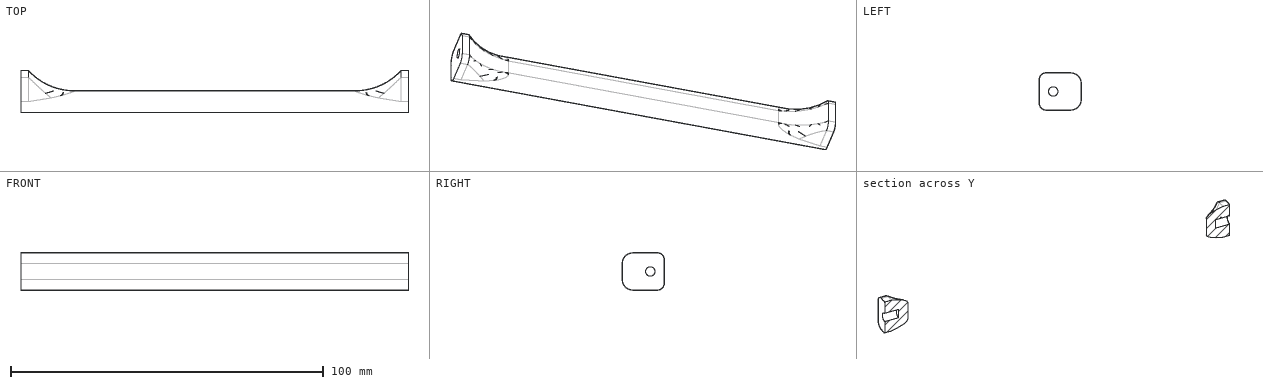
import cadquery as cq
import math

length = 124.0
depth = 13.5
height = 12.0

bar_depth = 7.0
bar_radius = bar_depth / 2
round_y = bar_radius
round_z = height / 2 - bar_radius

leg_thickness = 2.4
leg_corner_radius = 2.25
corner_y = depth - leg_corner_radius
corner_z = height / 2 - leg_corner_radius

ball_radius = 20.0
orbit_radius = bar_radius + ball_radius
quarter_turn = math.pi / 2

path_points = 9
angle_overlap = math.radians(0.5)
cut_into_bar = 0.5

hole_diameter = 3.0
hole_y = 9.0
hole_depth = 5.0


def make_bar(bar_length):
    """Bar from the left end: front and back are flat bands, rounded into the top and bottom."""
    sketch = (
        cq.Workplane("YZ")
        .moveTo(0, -round_z)
        .lineTo(0, round_z)
        .radiusArc((bar_radius, height / 2), bar_radius)
        .radiusArc((bar_depth, round_z), bar_radius)
        .lineTo(bar_depth, -round_z)
        .radiusArc((bar_radius, -height / 2), bar_radius)
        .radiusArc((0, -round_z), bar_radius)
        .close()
    )
    return sketch.extrude(bar_length)


def make_leg_block(thickness):
    """Left-hand block with the leg's outline: bar rounding in front, smaller corners at the back."""
    block = cq.Workplane("YZ").center(depth / 2, 0).rect(depth, height).extrude(thickness)
    block = block.edges("|X and <Y").fillet(bar_radius)
    return block.edges("|X and >Y").fillet(leg_corner_radius)


def upper_half(body):
    """The part of a body above the middle plane Z = 0."""
    box = cq.Workplane("XY").box(2 * length, 2 * length, height, centered=(True, True, False))
    return body.intersect(box)


def ball_centre(angle):
    """Ball centre when it touches the bar's upper back rounding at this angle from vertical."""
    y = round_y + orbit_radius * math.sin(angle)
    z = round_z + orbit_radius * math.cos(angle)
    if y <= corner_y:
        rim_distance = z - height / 2
    elif z >= corner_z:
        rim_distance = math.hypot(y - corner_y, z - corner_z) - leg_corner_radius
    else:
        rim_distance = y - depth
    run = math.sqrt(max(ball_radius**2 - rim_distance**2, 0))
    return cq.Vector(leg_thickness + run, y, z)


def beneath_ball(angle):
    """Point inside the bar, under the ball's contact with it."""
    radius = bar_radius - cut_into_bar
    y = round_y + radius * math.sin(angle)
    z = round_z + radius * math.cos(angle)
    return cq.Vector(ball_centre(angle).x, y, z)


def path_through(position, start, end):
    """Smooth path through the positions found at evenly spaced angles."""
    step = (end - start) / (path_points - 1)
    return cq.Edge.makeSpline([position(start + i * step) for i in range(path_points)])


def swept_ball(path):
    """Tube traced by the ball along a path of its centre."""
    plane = cq.Plane(origin=path.startPoint(), normal=path.tangentAt(0))
    return cq.Workplane(plane).circle(ball_radius).sweep(cq.Workplane(obj=path))


def clearance_beyond(inner_path, outer_path):
    """Space past the ball's contact line, open towards the middle of the bar."""
    face = cq.Face.makeRuledSurface(inner_path, outer_path)
    return cq.Workplane(obj=cq.Solid.extrudeLinear(face, cq.Vector(length / 2, 0, 0)))


def make_upper_leg():
    """Upper half of the left leg, with its concave blend into the bar."""
    leaves_top_edge = math.asin((corner_y - round_y) / orbit_radius)
    stretches = [(0, leaves_top_edge + angle_overlap), (leaves_top_edge, quarter_turn)]
    centre_paths = [path_through(ball_centre, start, end) for start, end in stretches]
    inner_paths = [path_through(beneath_ball, start, end) for start, end in stretches]

    level = ball_centre(quarter_turn)
    straight_top = cq.Vector(level.x, level.y, corner_z)
    straight_end = cq.Vector(level.x, level.y, -round_z)
    straight_path = cq.Edge.makeLine(straight_top, straight_end)

    leg = upper_half(make_leg_block(level.x))
    for path in centre_paths + [straight_path]:
        leg = leg.cut(swept_ball(path))
    for inner, outer in zip(inner_paths, centre_paths):
        leg = leg.cut(clearance_beyond(inner, outer))
    return leg


def make_hole():
    """Blind hole drilled into the left end."""
    return cq.Workplane("YZ").center(hole_y, 0).circle(hole_diameter / 2).extrude(hole_depth)


upper_quarter = upper_half(make_bar(length / 2)).union(make_upper_leg())
left_half = upper_quarter.union(upper_quarter.mirror("XY")).cut(make_hole())
right_half = left_half.mirror("YZ").translate((length, 0, 0))
result = left_half.union(right_half)